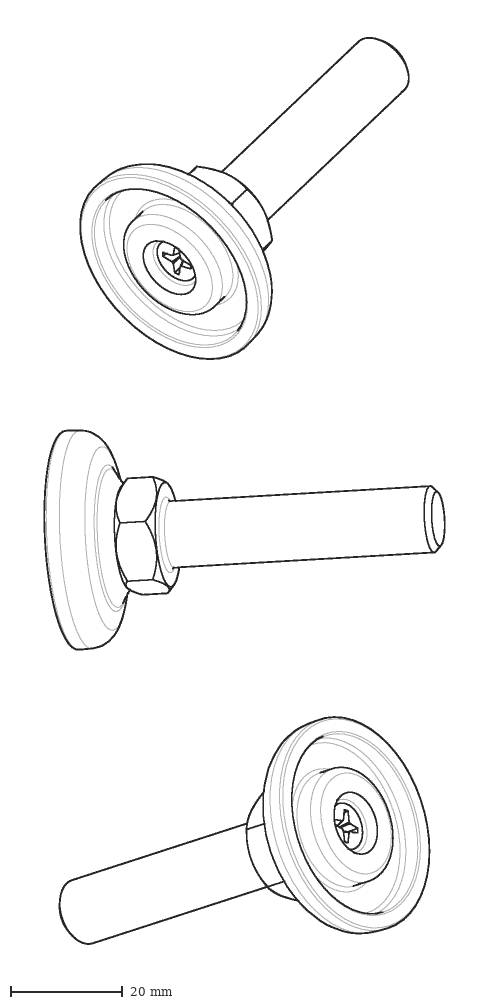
import cadquery as cq
import math


total_length = 68.0
stud_radius = 6.0
tip_chamfer = 1.1
stud_root_fillet = 0.8
hex_across_flats = 19.0
hex_start = 10.5
hex_height = 7.55
hex_end_radius = 9.4
hex_corner_setback = 1.4

rim_radius = 19.7
rim_edge_fillet = 0.4
rim_draft = 2.0
shell_slope = 15.0
shoulder_fillet = 4.2
dome_radius = 20.4
dome_center = -8.15
dome_foot_height = 7.75
dome_root_fillet = 2.05

dish_mouth_radius = 16.65
dish_corner_radius = 16.5
dish_corner_depth = 3.8
dish_corner_fillet = 0.9
dish_mouth_fillet = 0.35
boss_radius = 10.6
boss_edge_fillet = 1.3
boss_root_fillet = 0.6

recess_mouth_radius = 5.7
recess_floor_radius = 4.75
recess_depth = 2.3
recess_floor_fillet = 0.7

screw_radius = 4.3
drive_reach = 3.05
drive_tip_width = 0.9
drive_root_width = 1.85
drive_tip_depth = 2.4
drive_depth = 3.4
drive_core_reach = 1.8
drive_core_tip = 0.015
drive_arms = 4
drive_end_taper = 15.0

TOLERANCE = 0.01


def fillet_circle(body, radius, height, fillet):
    """Round the circular edge of the given radius at Y = height."""
    edges = body.edges("%CIRCLE").filter(
        lambda edge: abs(edge.radius() - radius) < TOLERANCE
        and abs(edge.Center().y - height) < TOLERANCE
    )
    return edges.fillet(fillet)


def revolve_about_y(outline):
    return outline.close().revolve(360, (0, 0, 0), (0, 1, 0))


def circular_cylinder(radius, start, end):
    return cq.Workplane("XZ", origin=(0, start, 0)).circle(radius).extrude(start - end)


def make_hex_collar():
    hex_end = hex_start + hex_height
    corner_radius = hex_across_flats / math.sqrt(3)
    prism = (
        cq.Workplane("XZ", origin=(0, hex_start, 0))
        .polygon(6, 2 * corner_radius)
        .extrude(-hex_height)
    )
    chamfer_envelope = revolve_about_y(
        cq.Workplane("XY")
        .moveTo(0, hex_start)
        .lineTo(hex_end_radius, hex_start)
        .lineTo(corner_radius, hex_start + hex_corner_setback)
        .lineTo(corner_radius, hex_end - hex_corner_setback)
        .lineTo(hex_end_radius, hex_end)
        .lineTo(0, hex_end)
    )
    return prism.intersect(chamfer_envelope)


def make_stud():
    hex_end = hex_start + hex_height
    rod = circular_cylinder(stud_radius, hex_end, total_length).faces(">Y").chamfer(tip_chamfer)
    stud = make_hex_collar().union(rod)
    return fillet_circle(stud, stud_radius, hex_end, stud_root_fillet)


def make_base(screw_blank):
    slope = math.tan(math.radians(shell_slope))
    draft = math.tan(math.radians(rim_draft))

    dome_foot_radius = math.sqrt(dome_radius**2 - (dome_foot_height - dome_center) ** 2)
    dome_top_radius = math.sqrt(dome_radius**2 - (hex_start - dome_center) ** 2)
    dome_middle_height = (dome_foot_height + hex_start) / 2
    dome_middle_radius = math.sqrt(dome_radius**2 - (dome_middle_height - dome_center) ** 2)

    shoulder_drop = slope * (rim_radius - dome_foot_radius)
    corner_height = (dome_foot_height - shoulder_drop) / (1 - slope * draft)
    corner_radius = rim_radius - draft * corner_height

    boss_root_depth = dish_corner_depth + slope * (dish_corner_radius - boss_radius)

    base = revolve_about_y(
        cq.Workplane("XY")
        .moveTo(0, recess_depth)
        .lineTo(recess_floor_radius, recess_depth)
        .lineTo(recess_mouth_radius, 0)
        .lineTo(boss_radius, 0)
        .lineTo(boss_radius, boss_root_depth)
        .lineTo(dish_corner_radius, dish_corner_depth)
        .lineTo(dish_mouth_radius, 0)
        .lineTo(rim_radius, 0)
        .lineTo(corner_radius, corner_height)
        .lineTo(dome_foot_radius, dome_foot_height)
        .threePointArc((dome_middle_radius, dome_middle_height), (dome_top_radius, hex_start))
        .lineTo(0, hex_start)
    )
    for radius, height, fillet in (
        (recess_floor_radius, recess_depth, recess_floor_fillet),
        (boss_radius, 0, boss_edge_fillet),
        (boss_radius, boss_root_depth, boss_root_fillet),
        (dish_corner_radius, dish_corner_depth, dish_corner_fillet),
        (dish_mouth_radius, 0, dish_mouth_fillet),
        (rim_radius, 0, rim_edge_fillet),
        (corner_radius, corner_height, shoulder_fillet),
        (dome_foot_radius, dome_foot_height, dome_root_fillet),
    ):
        base = fillet_circle(base, radius, height, fillet)
    return base.cut(screw_blank)


def make_screw_blank():
    """Solid plug that fills the base from the recess floor to the underside of the collar."""
    return circular_cylinder(screw_radius, recess_depth, hex_start)


def drive_groove(start_angle):
    """One V-shaped arm, deepest at the axis, that runs out along the given direction."""

    def v_section(workplane, width, depth):
        return workplane.polyline([(-width / 2, 0), (width / 2, 0), (0, depth)]).close()

    root = v_section(cq.Workplane("YZ"), drive_root_width, drive_depth)
    groove = v_section(root.workplane(offset=drive_reach), drive_tip_width, drive_tip_depth).loft()
    return groove.rotate((0, 0, 0), (0, 0, 1), start_angle)


def make_drive():
    """Cross-shaped drive, starting in the XY plane and deepening along +Z."""
    drive = (
        cq.Workplane("XY")
        .polygon(4, 2 * drive_core_reach)
        .workplane(offset=drive_depth)
        .polygon(4, drive_core_tip)
        .loft()
    )
    for arm in range(drive_arms):
        drive = drive.union(drive_groove(arm * 360 / drive_arms))
    end_limit = cq.Workplane("XY").rect(2 * drive_reach, 2 * drive_reach)
    return drive.intersect(end_limit.extrude(drive_depth, taper=drive_end_taper))


def make_screw(screw_blank):
    drive = make_drive().rotate((0, 0, 0), (1, 0, 0), -90).translate((0, recess_depth, 0))
    return screw_blank.cut(drive)


screw_blank = make_screw_blank()
stud = make_stud()
base = make_base(screw_blank)
screw = make_screw(screw_blank)
result = cq.Compound.makeCompound([stud.val(), base.val(), screw.val()])